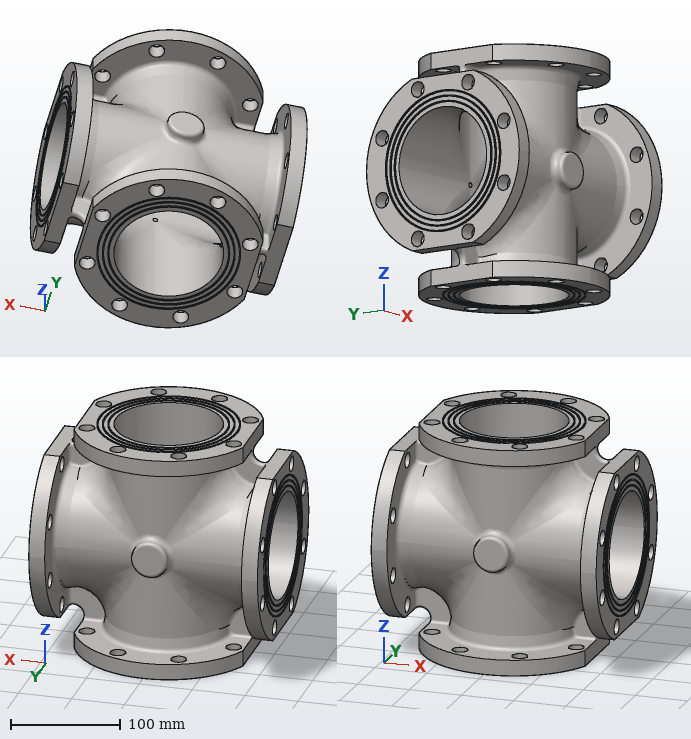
import cadquery as cq
import math

LENGTH = 216.0
HALF_LENGTH = LENGTH / 2

BORE_RADIUS = 50.0
PIPE_RADIUS = 57.2
CREASE_BLEND = 31.0
CREASE_PIN_RADIUS = 2.2

FLANGE_RADIUS = 87.0
FLANGE_THICKNESS = 15.1
FLAT_DISTANCE = 79.7
FLANGE_BACK = HALF_LENGTH - FLANGE_THICKNESS
PIPE_OVERLAP = 6.5

NECK_START = 80.0
NECK_ANGLE = 11.0
NECK_FILLET = 4.5
NECK_OVERLAP = 4.3

HOLE_COUNT = 8
HOLE_RADIUS = 7.1
BOLT_CIRCLE_RADIUS = 75.0

GROOVE_COUNT = 3
GROOVE_INNER_RADIUS = 54.5
GROOVE_PITCH = 5.0
GROOVE_WIDTH = 1.0
GROOVE_DEPTH = 0.9

BOSS_RADIUS = 17.0
BOSS_TOP = 67.5
BOSS_TOP_ROUND = 3.0
BOSS_BASE_FILLET = 5.0

RIB_HALF_THICKNESS = 3.78
RIB_ARC_RADIUS = 9.5
RIB_ROOT_FILLET = 3.0
RIB_ARC_CENTER = FLAT_DISTANCE + RIB_ARC_RADIUS
RIB_INNER = 54.0

TOLERANCE = 0.02


def around_y(shape, index):
    """Turn a shape by quarter turns about Y."""
    return shape.rotate((0, 0, 0), (0, 1, 0), 90 * index)


def y_pin(radius, end):
    return cq.Workplane("XZ").circle(radius).extrude(end, both=True)


def blended_cross(radius, end, pin):
    """Two crossing rods with a pin through their meeting point and rounded creases."""
    rod_z = cq.Workplane("XY").transformed(rotate=(0, 0, 90)).circle(radius).extrude(end, both=True)
    rod_x = cq.Workplane("YZ").circle(radius).extrude(end, both=True)
    cross = rod_z.union(rod_x).union(pin)
    creases = [
        edge
        for edge in cross.edges("%ELLIPSE").vals()
        if math.isclose(abs(edge.Center().x), abs(edge.Center().z), abs_tol=TOLERANCE)
    ]
    return cross.newObject(creases).fillet(CREASE_BLEND)


def is_boss_base(edge):
    """True for edges that run around a boss where it meets the pipes."""
    points = [edge.positionAt(t) for t in (0, 0.3, 0.5, 1)]
    on_boss = all(abs(math.hypot(p.x, p.z) - BOSS_RADIUS) < TOLERANCE for p in points)
    return on_boss and abs(edge.Center().y) < PIPE_RADIUS + 2.2


def pipes_with_bosses():
    pipes = blended_cross(PIPE_RADIUS, FLANGE_BACK + PIPE_OVERLAP, y_pin(BOSS_RADIUS, BOSS_TOP))
    pipes = pipes.faces("<Y or >Y").edges().fillet(BOSS_TOP_ROUND)
    base_edges = [edge for edge in pipes.edges().vals() if is_boss_base(edge)]
    return pipes.newObject(base_edges).fillet(BOSS_BASE_FILLET)


def flange():
    """Plate with two flats and a tapered neck, at the +Z end."""
    plate = (
        cq.Workplane("XY", origin=(0, 0, FLANGE_BACK))
        .circle(FLANGE_RADIUS)
        .extrude(FLANGE_THICKNESS)
        .intersect(cq.Workplane("XY").box(2 * FLAT_DISTANCE, 2 * FLANGE_RADIUS, 2 * LENGTH))
    )
    slope = math.tan(math.radians(NECK_ANGLE))
    neck_tip = NECK_START - NECK_OVERLAP
    neck = (
        cq.Workplane("YZ")
        .moveTo(0, neck_tip)
        .lineTo(PIPE_RADIUS - NECK_OVERLAP * slope, neck_tip)
        .lineTo(PIPE_RADIUS + (FLANGE_BACK - NECK_START) * slope, FLANGE_BACK)
        .lineTo(0, FLANGE_BACK)
        .close()
        .revolve(360, (0, 0, 0), (0, 1, 0))
    )
    reach = 64.8
    neck_root = cq.selectors.BoxSelector(
        (-reach, -reach, FLANGE_BACK - 0.2), (reach, reach, FLANGE_BACK + 0.2)
    )
    return plate.union(neck).edges(neck_root).fillet(NECK_FILLET)


def rib():
    """Web in the +X +Z corner, with a hollow outer edge that runs into both flats."""
    arc_middle = RIB_ARC_CENTER - RIB_ARC_RADIUS * math.sqrt(0.5)
    return (
        cq.Workplane("XZ")
        .moveTo(RIB_INNER, RIB_INNER)
        .lineTo(FLANGE_BACK, RIB_INNER)
        .lineTo(FLANGE_BACK, FLAT_DISTANCE)
        .lineTo(RIB_ARC_CENTER, FLAT_DISTANCE)
        .threePointArc((arc_middle, arc_middle), (FLAT_DISTANCE, RIB_ARC_CENTER))
        .lineTo(FLAT_DISTANCE, FLANGE_BACK)
        .lineTo(RIB_INNER, FLANGE_BACK)
        .close()
        .extrude(RIB_HALF_THICKNESS, both=True)
    )


def is_rib_root(edge):
    """True for edges where the side of the rib meets the pipes, necks and flanges."""
    on_side = all(abs(edge.positionAt(t).y - RIB_HALF_THICKNESS) < TOLERANCE for t in (0, 0.5, 1))
    center = edge.Center()
    in_corner = min(center.x, center.z) > PIPE_RADIUS - 2.2
    on_hollow_edge = edge.geomType() == "CIRCLE"
    return on_side and in_corner and not on_hollow_edge


def grooves():
    rings = cq.Workplane("XY")
    for index in range(GROOVE_COUNT):
        inner = GROOVE_INNER_RADIUS + index * GROOVE_PITCH
        ring = (
            cq.Workplane("XY", origin=(0, 0, HALF_LENGTH - GROOVE_DEPTH))
            .circle(inner + GROOVE_WIDTH)
            .circle(inner)
            .extrude(GROOVE_DEPTH)
        )
        rings = rings.add(ring)
    return rings.combine()


def bolt_holes():
    return (
        cq.Workplane("XY", origin=(0, 0, FLANGE_BACK))
        .polarArray(BOLT_CIRCLE_RADIUS, 180 / HOLE_COUNT, 360, HOLE_COUNT)
        .circle(HOLE_RADIUS)
        .extrude(FLANGE_THICKNESS)
    )


octant = cq.Workplane("XY").box(LENGTH, LENGTH, LENGTH, centered=False)
corner = pipes_with_bosses().intersect(octant)
for turn in range(2):
    corner = corner.union(around_y(flange(), turn).intersect(octant))
corner = corner.union(rib().intersect(octant))
root_edges = [edge for edge in corner.edges().vals() if is_rib_root(edge)]
corner = corner.newObject(root_edges).fillet(RIB_ROOT_FILLET)

bores = blended_cross(BORE_RADIUS, HALF_LENGTH, y_pin(CREASE_PIN_RADIUS, BORE_RADIUS))
corner = corner.cut(bores.intersect(octant))
for turn in range(2):
    corner = corner.cut(around_y(grooves(), turn)).cut(around_y(bolt_holes(), turn))

result = corner
for plane in ("YZ", "XY", "XZ"):
    result = result.union(result.mirror(plane), glue=True, clean=False)